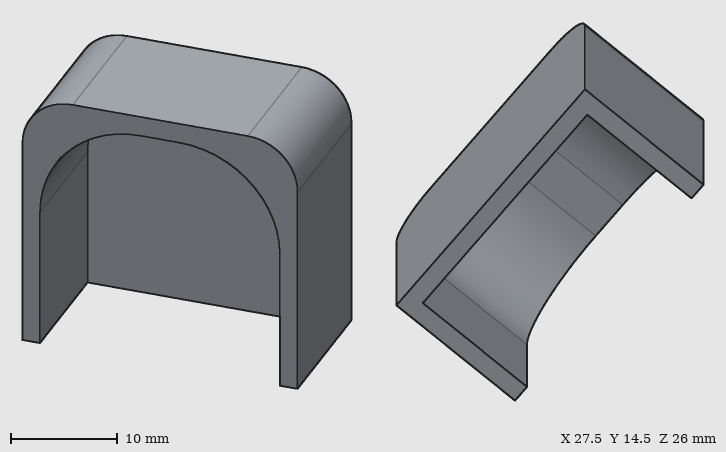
import cadquery as cq

width = 27.5
depth = 14.5
height = 26.0
outer_radius = 5.0

wall = 1.75
top_wall = 2.0
cavity_radius = 10.0


def arched_block(block_width, block_depth, block_height, corner_radius):
    """Block standing on Z = 0 with its front at Y = 0 and its two upper edges rounded."""
    block = cq.Workplane("XY").box(block_width, block_depth, block_height, centered=(True, False, False))
    return block.edges("|Y and >Z").fillet(corner_radius)


shell = arched_block(width, depth, height, outer_radius)
cavity = arched_block(
    width - 2 * wall,
    depth - wall,
    height - top_wall,
    cavity_radius,
)

result = shell.cut(cavity)